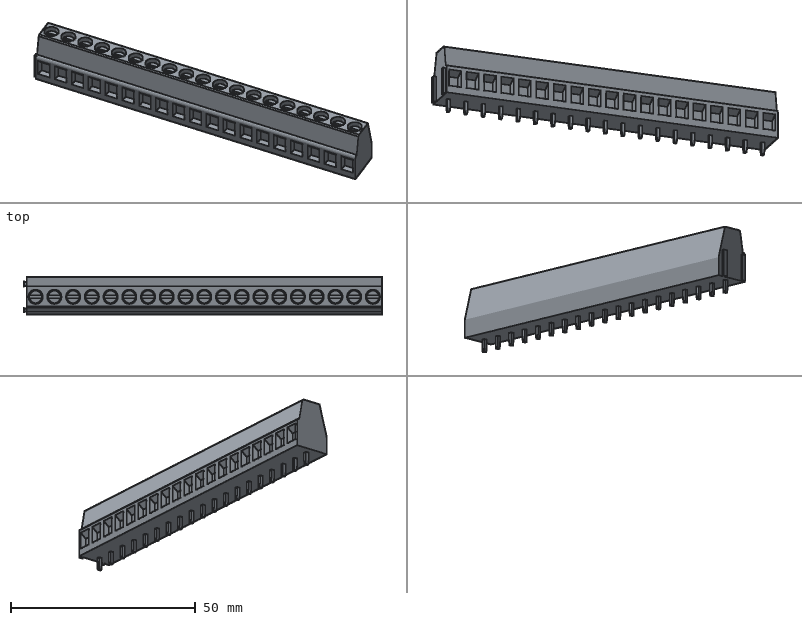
import cadquery as cq
import math

total_length = 97.1
pole_count = 19
tab_reach = 0.8
block_length = total_length - tab_reach
first_pole_x = 2.4
last_pole_margin = 2.5
pitch = (block_length - first_pole_x - last_pole_margin) / (pole_count - 1)

depth = 10.2
height = 14.1
front_y = -depth / 2
rear_y = depth / 2
rear_wall_height = 5.05
rear_top_y = 2.6
front_wall_height = 7.3
shoulder_radius = 0.8
front_top_y = -3.3
front_chamfer_run = 0.5
front_chamfer_drop = 0.3

entry_width = 3.5
entry_inner_width = 2.7
entry_floor = 2.0
entry_height = 4.7
entry_inner_height = 2.8
entry_floor_rise = 0.3
entry_depth = 1.5

screw_y = -0.3
well_diameter = 3.9
well_depth = 2.3
head_diameter = 3.4
head_recess = 1.3
slot_width = 0.9
slot_depth = 0.7

pin_width = 0.9
pin_length = 3.5
tip_length = 1.1
tip_width = 0.6

tab_height = front_wall_height
tab_undercut = 0.3
rear_tab_y = 3.2
rear_tab_width = 1.5
front_tab_y = -3.9
front_tab_width = 1.2

pole_positions = [first_pole_x + pole * pitch for pole in range(pole_count)]


def make_block():
    """Extruded cross-section with a rounded shoulder above the wire entries."""
    shoulder_bulge = shoulder_radius * math.sin(math.radians(45))
    profile = (
        cq.Workplane("YZ")
        .moveTo(front_y, 0)
        .lineTo(rear_y, 0)
        .lineTo(rear_y, rear_wall_height)
        .lineTo(rear_top_y, height)
        .lineTo(front_top_y + front_chamfer_run, height)
        .lineTo(front_top_y, height - front_chamfer_drop)
        .lineTo(front_y + shoulder_radius, front_wall_height + shoulder_radius)
        .threePointArc(
            (front_y + shoulder_radius - shoulder_bulge, front_wall_height + shoulder_bulge),
            (front_y, front_wall_height),
        )
        .close()
    )
    return profile.extrude(block_length)


def make_entry(x):
    """Funnel-shaped cutter for one wire entry, narrowing towards +Y."""
    mouth = cq.Workplane("XZ", origin=(x, front_y, entry_floor))
    return (
        mouth.center(0, entry_height / 2)
        .rect(entry_width, entry_height)
        .workplane(offset=-entry_depth)
        .center(0, entry_floor_rise + (entry_inner_height - entry_height) / 2)
        .rect(entry_inner_width, entry_inner_height)
        .loft(ruled=True)
    )


def make_well(x):
    """Ring-shaped cutter that leaves a slotted screw head standing below the top face."""
    floor = cq.Workplane("XY", origin=(x, screw_y, height - well_depth))
    head = floor.circle(head_diameter / 2).extrude(well_depth - head_recess)
    return floor.circle(well_diameter / 2).extrude(well_depth).cut(head)


def make_slot(x):
    """Screwdriver slot across the screw head, along X."""
    slot_floor = height - head_recess - slot_depth
    return (
        cq.Workplane("XY", origin=(x, screw_y, slot_floor))
        .rect(head_diameter, slot_width)
        .extrude(slot_depth)
    )


def make_pin(x):
    """Square pin whose two X faces taper at the tip."""
    shoulder_z = tip_length - pin_length
    outline = [
        (-pin_width / 2, 0),
        (-pin_width / 2, shoulder_z),
        (-tip_width / 2, -pin_length),
        (tip_width / 2, -pin_length),
        (pin_width / 2, shoulder_z),
        (pin_width / 2, 0),
    ]
    return (
        cq.Workplane("XZ", origin=(x, 0, 0))
        .polyline(outline)
        .close()
        .extrude(pin_width / 2, both=True)
    )


def make_tab(y, outer_width):
    """Dovetail tab, narrower at its root on the end face."""
    root_width = outer_width - 2 * tab_undercut
    outline = [
        (0, y - root_width / 2),
        (-tab_reach, y - outer_width / 2),
        (-tab_reach, y + outer_width / 2),
        (0, y + root_width / 2),
    ]
    return cq.Workplane("XY").polyline(outline).close().extrude(tab_height)


result = make_block()
for x in pole_positions:
    result = result.cut(make_entry(x)).cut(make_well(x)).cut(make_slot(x)).union(make_pin(x))
result = result.union(make_tab(rear_tab_y, rear_tab_width))
result = result.union(make_tab(front_tab_y, front_tab_width))